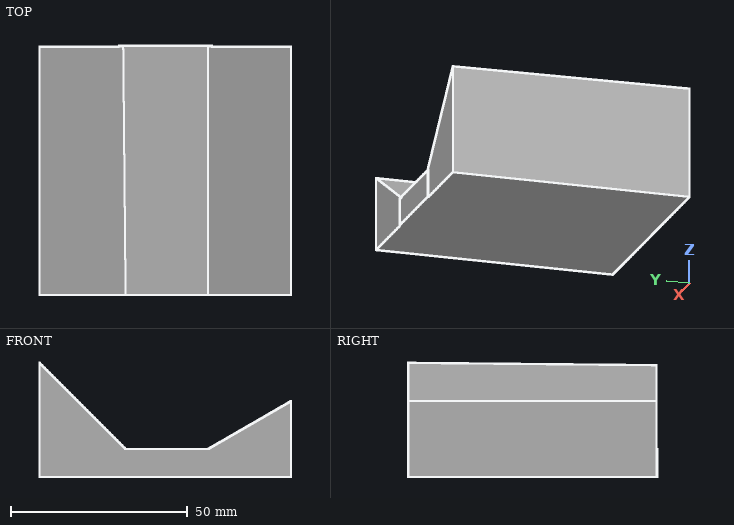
import cadquery as cq
import math

width = 71.15
overall_depth = 70.49
front_left_height = 32.37
rear_left_height = 31.7
right_height = 21.55
floor_height = 8.0
left_slope_angle = 45.0
right_slope_angle = 30.0
pad_thickness = 0.22
pad_left = 22.5
pad_right = 48.75

body_depth = overall_depth - pad_thickness


def trough_profile(y, left_height):
    """Closed wire of the trough section in the plane at the given Y."""
    left_run = (left_height - floor_height) / math.tan(math.radians(left_slope_angle))
    right_run = (right_height - floor_height) / math.tan(math.radians(right_slope_angle))
    outline = [
        (0, 0),
        (width, 0),
        (width, right_height),
        (width - right_run, floor_height),
        (left_run, floor_height),
        (0, left_height),
    ]
    return cq.Wire.makePolygon([cq.Vector(x, y, z) for x, z in outline], close=True)


def make_trough():
    """Trough body with straight faces ruled from the front section to the rear section."""
    front = trough_profile(0, front_left_height)
    rear = trough_profile(body_depth, rear_left_height)
    return cq.Workplane(obj=cq.Solid.makeLoft([front, rear], True))


def make_rear_pad():
    """Thin pad on the rear face, flush with the trough floor."""
    pad_size = (pad_right - pad_left, pad_thickness, floor_height)
    return cq.Workplane().box(*pad_size, centered=False).translate((pad_left, body_depth, 0))


result = make_trough().union(make_rear_pad())